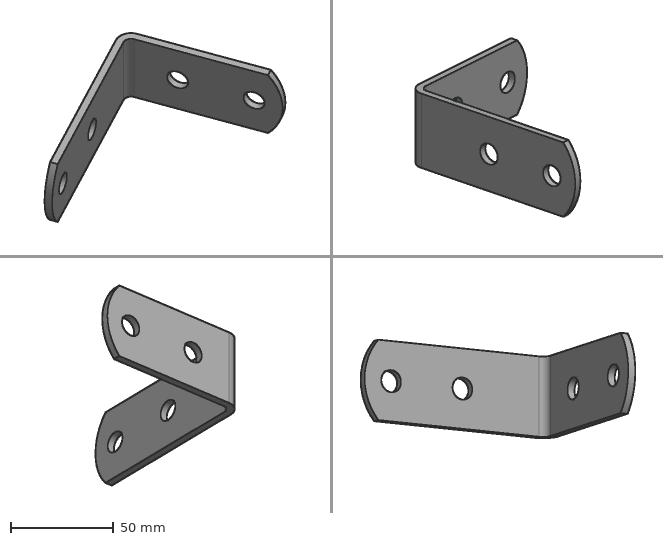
import cadquery as cq

long_leg = 105.9
short_leg = 85.9
width = 40.0
thickness = 4.0

inner_bend_radius = 4.0
outer_bend_radius = inner_bend_radius + thickness

end_radius = 30.0
hole_diameter = 11.0
hole_to_tip = 14.9
hole_spacing = width


def leg_blank(plane, length):
    """Flat leg with an arc-shaped tip, reaching from the corner along the plane's x axis."""
    half_width = width / 2
    arc_depth = end_radius - (end_radius**2 - half_width**2) ** 0.5
    shoulder = length - arc_depth
    outer_hole = length - hole_to_tip
    hole_places = [(outer_hole, 0), (outer_hole - hole_spacing, 0)]
    return (
        cq.Workplane(plane)
        .moveTo(outer_bend_radius, -half_width)
        .lineTo(shoulder, -half_width)
        .threePointArc((length, 0), (shoulder, half_width))
        .lineTo(outer_bend_radius, half_width)
        .close()
        .pushPoints(hole_places)
        .circle(hole_diameter / 2)
        .extrude(thickness)
    )


def bend():
    """Quarter ring joining the two legs, centred on the bend axis."""
    ring = (
        cq.Workplane("XY")
        .center(outer_bend_radius, -outer_bend_radius)
        .circle(outer_bend_radius)
        .circle(inner_bend_radius)
        .extrude(width / 2, both=True)
    )
    corner = cq.Workplane("XY").box(
        outer_bend_radius, outer_bend_radius, width, centered=(False, False, True)
    ).translate((0, -outer_bend_radius, 0))
    return ring.intersect(corner)


short_leg_plane = cq.Plane(origin=(0, 0, 0), xDir=(1, 0, 0), normal=(0, -1, 0))
long_leg_plane = cq.Plane(origin=(0, 0, 0), xDir=(0, -1, 0), normal=(1, 0, 0))

result = (
    bend()
    .union(leg_blank(short_leg_plane, short_leg))
    .union(leg_blank(long_leg_plane, long_leg))
)